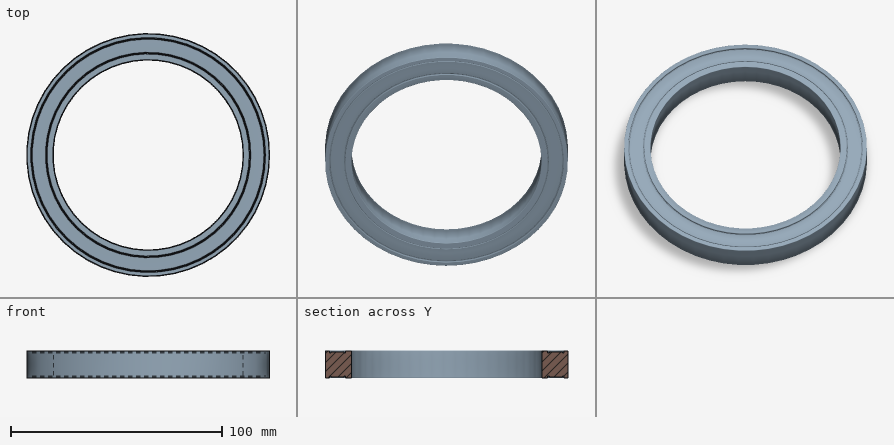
import cadquery as cq
import math

outer_diameter = 115.0
bore_diameter = 90.0
width = 13.0

outer_wall = 2.0
inner_wall = 3.0

edge_fillet = 0.2

seal_recess = 0.5
gap_width = 0.5
gap_depth = 1.0

outer_radius = outer_diameter / 2
bore_radius = bore_diameter / 2
inner_ring_radius = bore_radius + inner_wall
outer_ring_radius = outer_radius - outer_wall
seal_inner_radius = inner_ring_radius + gap_width
seal_outer_radius = outer_ring_radius - gap_width

ring_face = width / 2
seal_face = ring_face - seal_recess
gap_floor = ring_face - gap_depth

fillet_setback = edge_fillet * (1 - math.sqrt(0.5))


def add_band(profile, start, end, face):
    """Continue the profile over a flat band with rounded edges, from one radius to another."""
    across = math.copysign(1, end - start)
    upward = math.copysign(1, face)
    shoulder = face - upward * edge_fillet
    arc_middle = face - upward * fillet_setback
    flat_start = start + across * edge_fillet
    flat_end = end - across * edge_fillet
    return (
        profile.lineTo(start, shoulder)
        .threePointArc((start + across * fillet_setback, arc_middle), (flat_start, face))
        .lineTo(flat_end, face)
        .threePointArc((end - across * fillet_setback, arc_middle), (end, shoulder))
    )


def make_bearing():
    """Full section beside the axis, turned once about Z."""
    profile = cq.Workplane("XZ").moveTo(bore_radius, edge_fillet - ring_face)

    profile = add_band(profile, bore_radius, inner_ring_radius, ring_face)
    profile = profile.lineTo(inner_ring_radius, gap_floor).lineTo(seal_inner_radius, gap_floor)
    profile = add_band(profile, seal_inner_radius, seal_outer_radius, seal_face)
    profile = profile.lineTo(seal_outer_radius, gap_floor).lineTo(outer_ring_radius, gap_floor)
    profile = add_band(profile, outer_ring_radius, outer_radius, ring_face)

    profile = add_band(profile, outer_radius, outer_ring_radius, -ring_face)
    profile = profile.lineTo(outer_ring_radius, -gap_floor).lineTo(seal_outer_radius, -gap_floor)
    profile = add_band(profile, seal_outer_radius, seal_inner_radius, -seal_face)
    profile = profile.lineTo(seal_inner_radius, -gap_floor).lineTo(inner_ring_radius, -gap_floor)
    profile = add_band(profile, inner_ring_radius, bore_radius, -ring_face)

    axis_start = (0, 0, 0)
    axis_end = (0, 1, 0)
    return profile.close().revolve(360, axis_start, axis_end)


result = make_bearing()